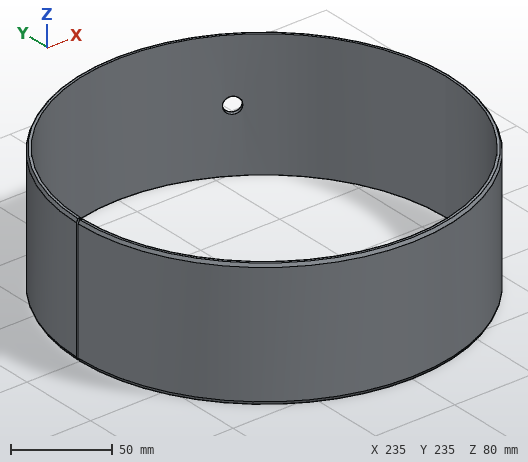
import cadquery as cq

outer_diameter = 235.0
height = 80.0
wall = 2.5
rim_bevel_height = 2.0
rim_bevel_depth = 1.0
slit_width = 1.5
slit_offset = 1.0
hole_diameter = 10.0
hole_angle = 59.0

outer_radius = outer_diameter / 2
inner_radius = outer_radius - wall
bevel_radius = outer_radius - rim_bevel_depth


def make_band():
    """Revolve the wall section, bevelled on the outside at both rims."""
    section = [
        (inner_radius, 0),
        (bevel_radius, 0),
        (outer_radius, rim_bevel_height),
        (outer_radius, height - rim_bevel_height),
        (bevel_radius, height),
        (inner_radius, height),
    ]
    return cq.Workplane("XZ").polyline(section).close().revolve(360, (0, 0, 0), (0, 1, 0))


def make_slit():
    """Full-height slot through the -X wall."""
    slit = cq.Workplane("XY").box(outer_radius, slit_width, height, centered=(False, True, False))
    return slit.translate((-outer_radius, slit_offset, 0))


def make_hole():
    """Radial hole through one side of the wall at mid-height."""
    hole = cq.Workplane("YZ").center(0, height / 2).circle(hole_diameter / 2).extrude(outer_radius)
    return hole.rotate((0, 0, 0), (0, 0, 1), hole_angle)


result = make_band().cut(make_slit()).cut(make_hole())